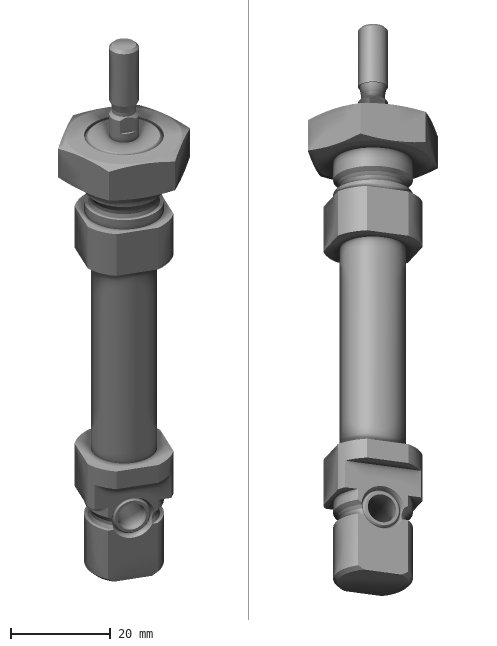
import cadquery as cq
import math

TOTAL_LENGTH = 120.0
NUT_TOP = 99.0
NUT_HEIGHT = 8.0
NECK_TOP = 87.0
COLLAR_TOP = 84.0
HEAD_TOP = 81.8
HEAD_BOTTOM = 72.2
CAP_TOP = 27.1
CLEVIS_TOP = 23.0
CAP_BOTTOM = 17.3
REAR_NECK_TOP = 15.0
REAR_NECK_BOTTOM = 12.0

THREAD_DIA = 16.0
NECK_DIA = 13.7
TUBE_DIA = 13.3
CAP_DIA = 20.0
CAP_ACROSS_FLATS = 18.0
CLEVIS_WIDTH = 12.0
THREAD_ROOT_DIA = 14.4
THREAD_CHAMFER = (THREAD_DIA - THREAD_ROOT_DIA) / 2
NECK_CONE_HEIGHT = 0.7
EYE_DIA = 6.0
EYE_SINK_DIA = 9.1
EYE_RIM_DIA = 8.0
EYE_RIM_FACE_DIA = 7.2
EYE_RIM_DEPTH = 0.6
EYE_GROOVE_DEPTH = 1.1
EYE_HEIGHT = 14.0

ROD_DIA = 6.0
ROD_TIP_DIA = 4.8
ROD_THREAD_BOTTOM = 107.3
ROD_SHOULDER = 103.9
ROD_NECK_DIA = 4.8
ROD_RUNOUT_DIA = 5.5
ROD_RUNOUT_HEIGHT = 1.8
ROD_CONE_HEIGHT = 0.7
ROD_ACROSS_FLATS = 5.0
ROD_FLAT_BOTTOM = 101.0

NUT_ACROSS_FLATS = 24.0
NUT_FACE_DIA = 23.3
NUT_CORNER_DROP = 0.7


def revolve_profile(points):
    """Revolve a closed (radius, height) profile about Z."""
    return cq.Workplane("XZ").polyline(points).close().revolve(360, (0, 0), (0, 1))


def cylinder(diameter, bottom, top):
    return cq.Workplane("XY").workplane(offset=bottom).circle(diameter / 2).extrude(top - bottom)


def octagonal_collar(bottom, top):
    """Round collar with four wrench flats."""
    block = cq.Workplane("XY").workplane(offset=bottom).rect(CAP_ACROSS_FLATS, CAP_ACROSS_FLATS)
    return block.extrude(top - bottom).intersect(cylinder(CAP_DIA, bottom, top))


def undercut_points(top, bottom):
    """Profile points of a thread undercut, from its top edge down to its lower shoulder."""
    chamfer_bottom = top - THREAD_CHAMFER
    return [
        (THREAD_DIA / 2, top),
        (THREAD_ROOT_DIA / 2, chamfer_bottom),
        (NECK_DIA / 2, chamfer_bottom - NECK_CONE_HEIGHT),
        (NECK_DIA / 2, bottom + NECK_CONE_HEIGHT),
        (THREAD_ROOT_DIA / 2, bottom),
        (THREAD_DIA / 2, bottom),
    ]


def front_thread():
    return revolve_profile([
        (0, NUT_TOP),
        (THREAD_DIA / 2 - THREAD_CHAMFER, NUT_TOP),
        (THREAD_DIA / 2, NUT_TOP - THREAD_CHAMFER),
        *undercut_points(NECK_TOP, COLLAR_TOP),
        (THREAD_DIA / 2, HEAD_TOP),
        (0, HEAD_TOP),
    ])


def rear_thread():
    return revolve_profile([
        (0, CAP_BOTTOM),
        (THREAD_DIA / 2, CAP_BOTTOM),
        *undercut_points(REAR_NECK_TOP, REAR_NECK_BOTTOM),
        (THREAD_DIA / 2, THREAD_CHAMFER),
        (THREAD_DIA / 2 - THREAD_CHAMFER, 0),
        (0, 0),
    ])


def side_flat_cutters():
    """Blocks that leave the rear eye CLEVIS_WIDTH wide in X."""
    depth = (CAP_DIA - CLEVIS_WIDTH) / 2
    center = (CLEVIS_WIDTH + depth) / 2
    return (
        cq.Workplane("XY")
        .pushPoints([(-center, 0), (center, 0)])
        .rect(depth, CAP_DIA)
        .extrude(CLEVIS_TOP)
    )


def eye_cutter():
    """Cross hole along X; at each flat a V groove leaves a recessed bevelled rim around the bore."""
    half_width = CLEVIS_WIDTH / 2
    rim_face = half_width - EYE_RIM_DEPTH
    groove_bottom = half_width - EYE_GROOVE_DEPTH
    mouth = [
        (half_width, EYE_SINK_DIA / 2),
        (groove_bottom, EYE_RIM_DIA / 2),
        (rim_face, EYE_RIM_FACE_DIA / 2),
        (rim_face, EYE_DIA / 2),
    ]
    opposite_mouth = [(-x, radius) for x, radius in reversed(mouth)]
    profile = [(half_width, 0), *mouth, *opposite_mouth, (-half_width, 0)]
    cutter = cq.Workplane("XY").polyline(profile).close().revolve(360, (0, 0), (1, 0))
    return cutter.translate((0, 0, EYE_HEIGHT))


def make_housing():
    body = front_thread()
    body = body.union(octagonal_collar(HEAD_BOTTOM, HEAD_TOP))
    body = body.union(cylinder(TUBE_DIA, CAP_TOP, HEAD_BOTTOM))
    body = body.union(octagonal_collar(CAP_BOTTOM, CAP_TOP))
    body = body.union(rear_thread())
    body = body.cut(side_flat_cutters())
    body = body.cut(eye_cutter())
    rod_bore = cylinder(ROD_DIA, HEAD_BOTTOM, NUT_TOP)
    return body.cut(rod_bore)


def make_rod():
    tip_chamfer = (ROD_DIA - ROD_TIP_DIA) / 2
    runout_bottom = ROD_THREAD_BOTTOM - ROD_RUNOUT_HEIGHT
    rod = revolve_profile([
        (0, TOTAL_LENGTH),
        (ROD_TIP_DIA / 2, TOTAL_LENGTH),
        (ROD_DIA / 2, TOTAL_LENGTH - tip_chamfer),
        (ROD_DIA / 2, ROD_THREAD_BOTTOM),
        (ROD_RUNOUT_DIA / 2, ROD_THREAD_BOTTOM),
        (ROD_NECK_DIA / 2, runout_bottom),
        (ROD_NECK_DIA / 2, ROD_SHOULDER + ROD_CONE_HEIGHT),
        (ROD_DIA / 2, ROD_SHOULDER),
        (ROD_DIA / 2, HEAD_BOTTOM),
        (0, HEAD_BOTTOM),
    ])
    flat_height = ROD_SHOULDER + ROD_CONE_HEIGHT - ROD_FLAT_BOTTOM
    flat_center = (ROD_ACROSS_FLATS + ROD_DIA) / 2
    flats = (
        cq.Workplane("XY")
        .workplane(offset=ROD_FLAT_BOTTOM)
        .pushPoints([(-flat_center, 0), (flat_center, 0)])
        .rect(ROD_DIA, ROD_DIA)
        .extrude(flat_height)
    )
    return rod.cut(flats)


def make_nut():
    """Hexagon nut with corners on the Y axis and both faces bevelled."""
    corner_dia = NUT_ACROSS_FLATS / math.cos(math.radians(30))
    bottom = NUT_TOP - NUT_HEIGHT
    hexagon = cq.Workplane("XY").workplane(offset=bottom).polygon(6, corner_dia).extrude(NUT_HEIGHT)
    hexagon = hexagon.rotate((0, 0, 0), (0, 0, 1), 30)
    bevel = revolve_profile([
        (0, NUT_TOP),
        (NUT_FACE_DIA / 2, NUT_TOP),
        (corner_dia / 2, NUT_TOP - NUT_CORNER_DROP),
        (corner_dia / 2, bottom + NUT_CORNER_DROP),
        (NUT_FACE_DIA / 2, bottom),
        (0, bottom),
    ])
    return hexagon.intersect(bevel).cut(cylinder(THREAD_DIA, bottom, NUT_TOP))


housing = make_housing()
rod = make_rod()
nut = make_nut()
result = cq.Compound.makeCompound([housing.val(), rod.val(), nut.val()])